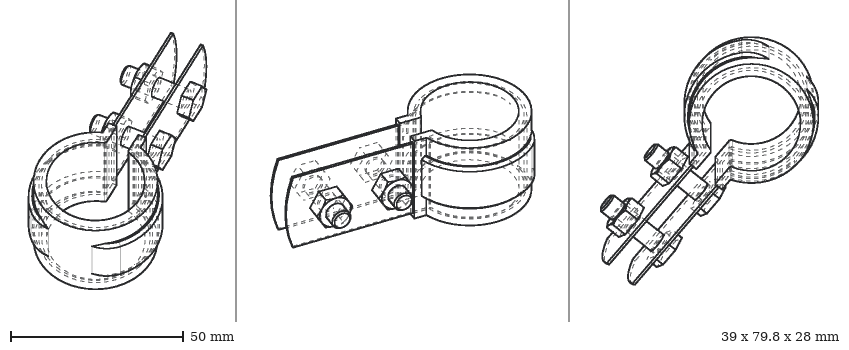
import cadquery as cq
import math


OVERALL_LENGTH = 79.75

BORE_RADIUS = 14.3
RING_RADIUS = 18.0
CUSHION_HEIGHT = 28.0

TAB_INNER_X = 3.5
TAB_THICKNESS = 2.6
TAB_OUTER_X = TAB_INNER_X + TAB_THICKNESS
TAB_END_Y = 20.8
MOUTH_FILLET = 0.8

PAD_DIAMETER = 39.0
PAD_RADIUS = PAD_DIAMETER / 2
PAD_HEIGHT = 15.15
PAD_CHAMFER = 1.0
PAD_RUNOUT_RADIUS = 10.7
PAD_RUNOUT_ANGLE = math.radians(-42)

STRAP_THICKNESS = 0.8
STRAP_WIDTH = 25.1
EAR_X = TAB_INNER_X + TAB_THICKNESS / 2
EAR_OUTER_X = EAR_X + STRAP_THICKNESS / 2
EAR_TIP_Y = OVERALL_LENGTH - RING_RADIUS
EAR_TIP_RISE = 2.2
BAND_RADIUS = (BORE_RADIUS + RING_RADIUS) / 2

BOLT_DIAMETER = 6.0
BOLT_TIP_DIAMETER = 4.95
BOLT_TIP_X = -14.8
FIRST_BOLT_Y = 28.3
BOLT_PITCH = 20.0
BOLT_POSITIONS = [FIRST_BOLT_Y, FIRST_BOLT_Y + BOLT_PITCH]
HEX_ACROSS_FLATS = 10.0
HEX_ACROSS_CORNERS = HEX_ACROSS_FLATS / math.cos(math.pi / 6)
HEAD_THICKNESS = 3.8
NUT_THICKNESS = 5.0
NUT_CHAMFER_DEPTH = 0.5


def centered_disc(radius, height):
    """Cylinder along Z, centered on the origin."""
    return cq.Workplane("XY").circle(radius).extrude(height / 2, both=True)


def block(x_min, x_max, y_min, y_max, height):
    """Box between the given X and Y limits, centered on Z = 0."""
    return (
        cq.Workplane("XY")
        .center((x_min + x_max) / 2, (y_min + y_max) / 2)
        .rect(x_max - x_min, y_max - y_min)
        .extrude(height / 2, both=True)
    )


def x_cylinder(diameter, x_start, x_end, y):
    """Cylinder along X at height Z = 0."""
    return (
        cq.Workplane("YZ", origin=(x_start, 0, 0))
        .center(y, 0)
        .circle(diameter / 2)
        .extrude(x_end - x_start)
    )


def x_hexagon(x_start, x_end, y):
    """Hexagonal prism along X with two corners pointing along Y."""
    return (
        cq.Workplane("YZ", origin=(x_start, 0, 0))
        .center(y, 0)
        .polygon(6, HEX_ACROSS_CORNERS)
        .extrude(x_end - x_start)
    )


def make_pads():
    """Chamfered ring segment whose two front ends run out into the cushion ring."""
    cos_end = math.cos(PAD_RUNOUT_ANGLE)
    sin_end = math.sin(PAD_RUNOUT_ANGLE)
    reach = PAD_DIAMETER
    front_wedge = (
        cq.Workplane("XY")
        .polyline([(0, 0), (reach * cos_end, reach * sin_end), (-reach * cos_end, reach * sin_end)])
        .close()
        .extrude(PAD_HEIGHT, both=True)
    )
    pads = centered_disc(PAD_RADIUS, PAD_HEIGHT).edges("%CIRCLE").chamfer(PAD_CHAMFER).cut(front_wedge)

    runout = centered_disc(PAD_RUNOUT_RADIUS, PAD_HEIGHT).edges("%CIRCLE").chamfer(PAD_CHAMFER)
    runout_distance = PAD_RADIUS - PAD_RUNOUT_RADIUS
    for side in (-1, 1):
        pads = pads.union(runout.translate((side * runout_distance * cos_end, runout_distance * sin_end, 0)))

    return pads.cut(block(-TAB_OUTER_X, TAB_OUTER_X, 0, reach, PAD_HEIGHT))


def make_strap():
    """Band inside the cushion that continues into two flat ears with arched ends."""
    band = centered_disc(BAND_RADIUS + STRAP_THICKNESS / 2, STRAP_WIDTH)
    band = band.cut(centered_disc(BAND_RADIUS - STRAP_THICKNESS / 2, STRAP_WIDTH))
    strap = band.cut(block(-EAR_X, EAR_X, 0, RING_RADIUS, STRAP_WIDTH))

    ear_root_y = math.sqrt(BAND_RADIUS**2 - EAR_X**2)
    ear_corner_y = EAR_TIP_Y - EAR_TIP_RISE
    ear = (
        cq.Workplane("YZ")
        .moveTo(ear_root_y, -STRAP_WIDTH / 2)
        .lineTo(ear_corner_y, -STRAP_WIDTH / 2)
        .threePointArc((EAR_TIP_Y, 0), (ear_corner_y, STRAP_WIDTH / 2))
        .lineTo(ear_root_y, STRAP_WIDTH / 2)
        .close()
        .extrude(STRAP_THICKNESS / 2, both=True)
    )
    for side in (-1, 1):
        strap = strap.union(ear.translate((side * EAR_X, 0, 0)))

    for y in BOLT_POSITIONS:
        strap = strap.cut(x_cylinder(BOLT_DIAMETER, -EAR_OUTER_X, EAR_OUTER_X, y))
    return strap


def make_cushion(strap):
    """Slotted ring with tabs and pads, hollowed where the strap is embedded."""
    cushion = centered_disc(RING_RADIUS, CUSHION_HEIGHT).union(make_pads())
    cushion = cushion.union(block(-TAB_OUTER_X, TAB_OUTER_X, 0, TAB_END_Y, CUSHION_HEIGHT))
    cushion = cushion.cut(centered_disc(BORE_RADIUS, CUSHION_HEIGHT))
    cushion = cushion.cut(block(-TAB_INNER_X, TAB_INNER_X, 0, TAB_END_Y, CUSHION_HEIGHT))

    mouth_y = math.sqrt(BORE_RADIUS**2 - TAB_INNER_X**2)
    for side in (-1, 1):
        mouth_edge = cq.selectors.NearestToPointSelector((side * TAB_INNER_X, mouth_y, 0))
        cushion = cushion.edges("|Z").edges(mouth_edge).fillet(MOUTH_FILLET)
    return cushion.cut(strap)


def make_bolt(y):
    """Hex bolt with its head on the +X ear and a chamfered tip at -X."""
    shank = x_cylinder(BOLT_DIAMETER, BOLT_TIP_X, EAR_OUTER_X, y)
    shank = shank.faces("<X").chamfer((BOLT_DIAMETER - BOLT_TIP_DIAMETER) / 2)
    return shank.union(x_hexagon(EAR_OUTER_X, EAR_OUTER_X + HEAD_THICKNESS, y))


def make_nut(y):
    """Hex nut on the -X ear, with the corners of its outer face chamfered."""
    outer_x = -EAR_OUTER_X - NUT_THICKNESS
    corner_inset = (HEX_ACROSS_CORNERS - HEX_ACROSS_FLATS) / 2
    envelope = x_cylinder(HEX_ACROSS_CORNERS, outer_x, -EAR_OUTER_X, y)
    envelope = envelope.faces("<X").edges().chamfer(NUT_CHAMFER_DEPTH, corner_inset)
    nut = x_hexagon(outer_x, -EAR_OUTER_X, y).intersect(envelope)
    return nut.cut(x_cylinder(BOLT_DIAMETER, outer_x, -EAR_OUTER_X, y))


strap = make_strap()
cushion = make_cushion(strap)
bolts = [make_bolt(y) for y in BOLT_POSITIONS]
nuts = [make_nut(y) for y in BOLT_POSITIONS]

result = cq.Compound.makeCompound([
    cushion.val(),
    strap.val(),
    *[bolt.val() for bolt in bolts],
    *[nut.val() for nut in nuts],
])